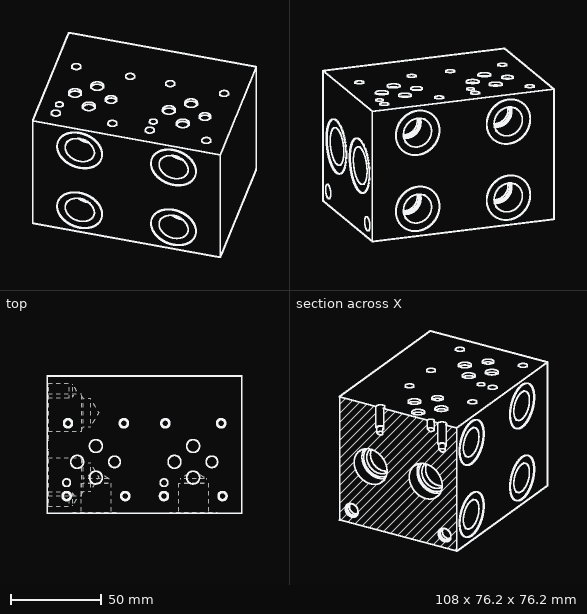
import cadquery as cq
import math

LENGTH = 108.0
WIDTH = 76.2
HEIGHT = 76.2

DRILL_HALF_ANGLE = math.radians(59)

WORK_PITCH_X = 54.0
WORK_PITCH_Z = 44.5
WORK_SPOTFACE_DIAMETER = 25.9
WORK_THREAD_DIAMETER = 16.7
WORK_SEAT_DIAMETER = 15.1
WORK_DRILL_DIAMETER = 14.2
WORK_THREAD_DEPTH = 16.7
WORK_DRILL_DEPTH = 19.4

SUPPLY_PITCH_Y = 35.7
SUPPLY_SPOTFACE_DIAMETER = 30.7
SUPPLY_THREAD_DIAMETER = 21.0
SUPPLY_SEAT_DIAMETER = 18.9
SUPPLY_DRILL_DIAMETER = 15.9
SUPPLY_THREAD_DEPTH = 18.9
SUPPLY_DRILL_DEPTH = 23.7

SPOTFACE_DEPTH = 0.5

MOUNT_INSET = 8.0
MOUNT_THREAD_DIAMETER = 8.0
MOUNT_DRILL_DIAMETER = 6.8
MOUNT_THREAD_DEPTH = 11.9
MOUNT_DRILL_DEPTH = 14.0

VALVE_BOLT_X = 11.4
VALVE_BOLT_Y = 11.9
REAR_BOLT_SPAN = 31.0
FRONT_BOLT_FLARE = 0.8
BOLT_ROW_SPAN = 40.4
BOLT_THREAD_DIAMETER = 5.0
BOLT_DRILL_DIAMETER = 4.0
BOLT_THREAD_DEPTH = 13.0
BOLT_DRILL_DEPTH = 16.2

PIN_OFFSET_Y = 32.9
PIN_DIAMETER = 4.2
PIN_DEPTH = 5.4

PASSAGE_DIAMETER = 7.1
TANK_PASSAGE_DIAMETER = 6.4
PASSAGE_DEPTH = 1.7
WORK_PASSAGE_OFFSET_X = 15.5
PRESSURE_PASSAGE_OFFSET_X = 25.9
TANK_PASSAGE_OFFSET_X = 5.2
SUPPLY_PASSAGE_OFFSET_Y = 21.4
WORK_PASSAGE_OFFSETS_Y = (12.6, 30.1)


def cone_height(large_diameter, small_diameter=0.0):
    """Height of the drill-point cone between two diameters."""
    return (large_diameter - small_diameter) / 2 / math.tan(DRILL_HALF_ANGLE)


def bore(plane, points, profile):
    """Revolve half a bore outline of (radius, depth) points and copy it to each place."""
    outline = [(0, 0)] + [(radius, -level) for radius, level in profile]
    tool = cq.Workplane("XZ").polyline(outline).close().revolve(360, (0, 0, 0), (0, 1, 0)).val()
    return cq.Workplane(plane).pushPoints(points).eachpoint(tool, useLocalCoordinates=True)


def drilled_hole(plane, points, diameter, depth):
    """Blind hole with a drill-point floor."""
    radius = diameter / 2
    return bore(plane, points, [(radius, 0), (radius, depth), (0, depth + cone_height(diameter))])


def threaded_hole(plane, points, thread, thread_depth, drill, drill_depth):
    """Threaded bore, stepping down to a pilot hole with a drill-point floor."""
    profile = [
        (thread / 2, 0),
        (thread / 2, thread_depth),
        (drill / 2, thread_depth),
        (drill / 2, drill_depth),
        (0, drill_depth + cone_height(drill)),
    ]
    return bore(plane, points, profile)


def port(plane, points, spotface, thread, thread_depth, seat, drill, drill_depth):
    """Spotfaced port: threaded bore, flat step, conical seat, then a drilled passage."""
    profile = [
        (spotface / 2, 0),
        (spotface / 2, SPOTFACE_DEPTH),
        (thread / 2, SPOTFACE_DEPTH),
        (thread / 2, thread_depth),
        (seat / 2, thread_depth),
        (drill / 2, thread_depth + cone_height(seat, drill)),
        (drill / 2, drill_depth),
        (0, drill_depth + cone_height(drill)),
    ]
    return bore(plane, points, profile)


front_face = cq.Plane((0, -WIDTH / 2, 0), (1, 0, 0), (0, -1, 0))
end_face = cq.Plane((-LENGTH / 2, 0, 0), (0, -1, 0), (-1, 0, 0))
top_face = cq.Plane((0, 0, HEIGHT / 2), (1, 0, 0), (0, 0, 1))

body = cq.Workplane("XY").box(LENGTH, WIDTH, HEIGHT)

work_ports = [(x * WORK_PITCH_X / 2, z * WORK_PITCH_Z / 2) for x in (-1, 1) for z in (-1, 1)]
body = body.cut(port(
    front_face, work_ports, WORK_SPOTFACE_DIAMETER, WORK_THREAD_DIAMETER, WORK_THREAD_DEPTH,
    WORK_SEAT_DIAMETER, WORK_DRILL_DIAMETER, WORK_DRILL_DEPTH,
))

supply_ports = [(-SUPPLY_PITCH_Y / 2, 0), (SUPPLY_PITCH_Y / 2, 0)]
body = body.cut(port(
    end_face, supply_ports, SUPPLY_SPOTFACE_DIAMETER, SUPPLY_THREAD_DIAMETER, SUPPLY_THREAD_DEPTH,
    SUPPLY_SEAT_DIAMETER, SUPPLY_DRILL_DIAMETER, SUPPLY_DRILL_DEPTH,
))

mount_reach = WIDTH / 2 - MOUNT_INSET
mount_height = MOUNT_INSET - HEIGHT / 2
body = body.cut(threaded_hole(
    end_face, [(-mount_reach, mount_height), (mount_reach, mount_height)],
    MOUNT_THREAD_DIAMETER, MOUNT_THREAD_DEPTH, MOUNT_DRILL_DIAMETER, MOUNT_DRILL_DEPTH,
))

front_left_offset_x = REAR_BOLT_SPAN + FRONT_BOLT_FLARE
bolt_offsets = [
    (0, 0),
    (REAR_BOLT_SPAN, 0),
    (-FRONT_BOLT_FLARE, BOLT_ROW_SPAN),
    (front_left_offset_x, BOLT_ROW_SPAN),
]
passage_offsets = [(WORK_PASSAGE_OFFSET_X, y) for y in WORK_PASSAGE_OFFSETS_Y]
passage_offsets.append((PRESSURE_PASSAGE_OFFSET_X, SUPPLY_PASSAGE_OFFSET_Y))


def on_valves(offsets):
    """Places on the top face for offsets repeated on every valve interface."""
    corners = [-VALVE_BOLT_X, WORK_PITCH_X - VALVE_BOLT_X]
    return [(corner - x, VALVE_BOLT_Y - y) for corner in corners for x, y in offsets]


body = body.cut(threaded_hole(
    top_face, on_valves(bolt_offsets),
    BOLT_THREAD_DIAMETER, BOLT_THREAD_DEPTH, BOLT_DRILL_DIAMETER, BOLT_DRILL_DEPTH,
))
body = body.cut(drilled_hole(
    top_face, on_valves([(front_left_offset_x, PIN_OFFSET_Y)]), PIN_DIAMETER, PIN_DEPTH,
))
body = body.cut(drilled_hole(
    top_face, on_valves(passage_offsets), PASSAGE_DIAMETER, PASSAGE_DEPTH,
))
result = body.cut(drilled_hole(
    top_face, on_valves([(TANK_PASSAGE_OFFSET_X, SUPPLY_PASSAGE_OFFSET_Y)]),
    TANK_PASSAGE_DIAMETER, PASSAGE_DEPTH,
))